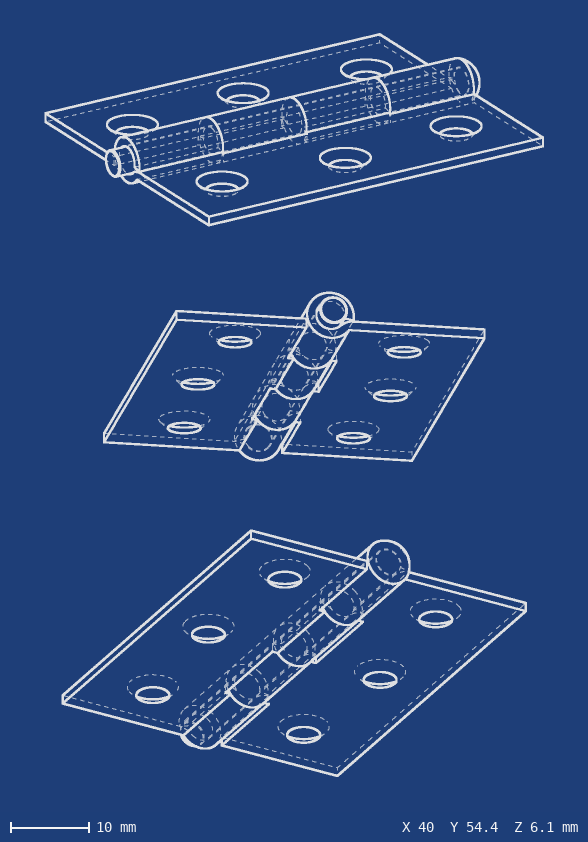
import cadquery as cq
import math

LEAF_LENGTH = 50.05
HINGE_WIDTH = 40.0
SHEET = 1.2
LEAF_TOP = -0.65
LEAF_BOTTOM = LEAF_TOP - SHEET

KNUCKLE_RADIUS = 3.05
BORE_RADIUS = KNUCKLE_RADIUS - SHEET
KNUCKLE_COUNT = 4
KNUCKLE_LENGTH = LEAF_LENGTH / KNUCKLE_COUNT
NOTCH_EDGE = 3.15
ROLL_END_ANGLE = math.radians(-10)
LIP_RADIUS = 2.7

HOLE_DIAMETER = 4.2
COUNTERSINK_DIAMETER = 6.5
COUNTERSINK_ANGLE = 90
OUTER_HOLE_X = 11.0
OUTER_HOLE_Y = 17.5
MIDDLE_HOLE_X = 12.5

PIN_DIAMETER = 3.5
PIN_PROJECTION = 2.2
TIP_CHAMFER = 0.1
HEAD_HEIGHT = 2.2
HEAD_RADIUS = KNUCKLE_RADIUS


def polar(radius, angle):
    """Point on a circle around the pin axis, in the XZ plane."""
    return (radius * math.cos(angle), radius * math.sin(angle))


def extrude_along_y(profile, start, length):
    """Extrude a closed XZ profile from y = start towards +Y."""
    return profile.extrude(-length).translate((0, start, 0))


def make_knuckle(start):
    """Sheet strip that leaves the right-hand plate and rolls under and around the pin."""
    plate_join = math.asin(LEAF_BOTTOM / KNUCKLE_RADIUS)
    lip_center_z = LEAF_TOP - LIP_RADIUS
    lip_angle = math.asin(lip_center_z / (BORE_RADIUS + LIP_RADIUS))
    lip_start_x = (BORE_RADIUS + LIP_RADIUS) * math.cos(lip_angle)
    lip_middle_angle = (lip_angle + 3 * math.pi / 2) / 2
    lip_middle = (
        lip_start_x + LIP_RADIUS * math.cos(lip_middle_angle),
        lip_center_z + LIP_RADIUS * math.sin(lip_middle_angle),
    )
    profile = (
        cq.Workplane("XZ")
        .moveTo(NOTCH_EDGE, LEAF_TOP)
        .lineTo(NOTCH_EDGE, LEAF_BOTTOM)
        .lineTo(*polar(KNUCKLE_RADIUS, plate_join))
        .threePointArc((-KNUCKLE_RADIUS, 0), polar(KNUCKLE_RADIUS, ROLL_END_ANGLE))
        .lineTo(*polar(BORE_RADIUS, ROLL_END_ANGLE))
        .threePointArc((-BORE_RADIUS, 0), polar(BORE_RADIUS, lip_angle))
        .threePointArc(lip_middle, (lip_start_x, LEAF_TOP))
        .close()
    )
    return extrude_along_y(profile, start, KNUCKLE_LENGTH)


def make_leaf():
    """Right-hand leaf with its knuckles in the first and third positions from the -Y end."""
    plate_width = HINGE_WIDTH / 2 - NOTCH_EDGE
    leaf = (
        cq.Workplane("XY", origin=(NOTCH_EDGE, 0, LEAF_BOTTOM))
        .box(plate_width, LEAF_LENGTH, SHEET, centered=(False, True, False))
    )
    for position in range(0, KNUCKLE_COUNT, 2):
        leaf = leaf.union(make_knuckle(-LEAF_LENGTH / 2 + position * KNUCKLE_LENGTH))
    hole_centers = [
        (OUTER_HOLE_X, -OUTER_HOLE_Y),
        (MIDDLE_HOLE_X, 0),
        (OUTER_HOLE_X, OUTER_HOLE_Y),
    ]
    return (
        leaf.copyWorkplane(cq.Workplane("XY", origin=(0, 0, LEAF_TOP)))
        .pushPoints(hole_centers)
        .cskHole(HOLE_DIAMETER, COUNTERSINK_DIAMETER, COUNTERSINK_ANGLE, depth=SHEET)
    )


def make_pin():
    """Straight pin with a chamfered tip and a domed head that rests on the +Y end of the knuckles."""
    pin_radius = PIN_DIAMETER / 2
    pin_start = -LEAF_LENGTH / 2 - PIN_PROJECTION
    head_base = LEAF_LENGTH / 2
    dome_radius = (HEAD_RADIUS**2 + HEAD_HEIGHT**2) / (2 * HEAD_HEIGHT)
    dome_center = head_base + HEAD_HEIGHT - dome_radius
    dome_half_angle = math.asin(HEAD_RADIUS / dome_radius) / 2
    dome_middle = (
        dome_radius * math.sin(dome_half_angle),
        dome_center + dome_radius * math.cos(dome_half_angle),
    )
    return (
        cq.Workplane("XY")
        .moveTo(0, pin_start)
        .lineTo(pin_radius - TIP_CHAMFER, pin_start)
        .lineTo(pin_radius, pin_start + TIP_CHAMFER)
        .lineTo(pin_radius, head_base)
        .lineTo(HEAD_RADIUS, head_base)
        .threePointArc(dome_middle, (0, head_base + HEAD_HEIGHT))
        .close()
        .revolve(360, (0, 0, 0), (0, 1, 0))
    )


right_leaf = make_leaf()
left_leaf = right_leaf.rotate((0, 0, 0), (0, 0, 1), 180)
pin = make_pin()

result = cq.Compound.makeCompound([right_leaf.val(), left_leaf.val(), pin.val()])